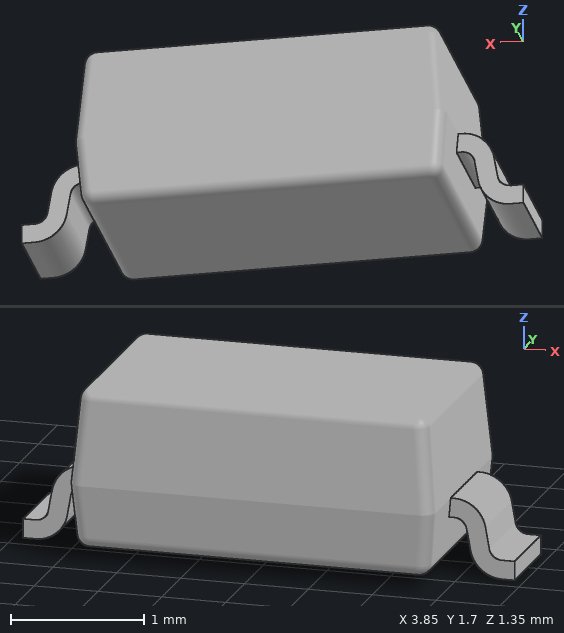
import cadquery as cq
import math

total_length = 3.85
total_height = 1.35
parting_height = 0.605

housing_length = 2.85
housing_width = 1.7
housing_bottom = 0.1
draft_angle = 5.0
edge_radius = 0.1

lead_width = 0.7
lead_thickness = 0.15
foot_length = 0.1
inner_bend_radius = 0.1
outer_bend_radius = inner_bend_radius + lead_thickness
lead_lean = math.radians(10.0)
lead_overrun = 0.077


def tapered_half(height):
    """Half of the housing, growing up or down from the parting level."""
    return (
        cq.Workplane("XY")
        .workplane(offset=parting_height)
        .rect(housing_length, housing_width)
        .extrude(height, taper=draft_angle)
    )


def make_housing():
    upper = tapered_half(total_height - parting_height)
    lower = tapered_half(housing_bottom - parting_height)
    block = upper.union(lower)
    rounded_edges = "(not #Z) or >Z or <Z"
    return block.edges(rounded_edges).fillet(edge_radius).solids()


def arc_point(center, radius, angle):
    """Point on a circle in the XZ plane."""
    return (center[0] + radius * math.cos(angle), center[1] + radius * math.sin(angle))


def make_lead(housing):
    """Gull-wing lead on the +X end, trimmed flush against the housing wall."""
    tip = total_length / 2
    start = housing_length / 2 - lead_overrun
    shoulder_underside = parting_height - lead_thickness

    foot_center = (tip - foot_length, outer_bend_radius)
    shoulder_z = parting_height - outer_bend_radius
    drop = shoulder_z - outer_bend_radius
    radii_sum = outer_bend_radius + inner_bend_radius
    center_spacing = (radii_sum + drop * math.sin(lead_lean)) / math.cos(lead_lean)
    shoulder_center = (foot_center[0] - center_spacing, shoulder_z)

    shoulder_end = lead_lean
    shoulder_mid = (math.pi / 2 + lead_lean) / 2
    foot_start = math.pi + shoulder_end
    foot_mid = math.pi + shoulder_mid

    profile = (
        cq.Workplane("XZ")
        .moveTo(start, parting_height)
        .lineTo(shoulder_center[0], parting_height)
        .threePointArc(
            arc_point(shoulder_center, outer_bend_radius, shoulder_mid),
            arc_point(shoulder_center, outer_bend_radius, shoulder_end),
        )
        .lineTo(*arc_point(foot_center, inner_bend_radius, foot_start))
        .threePointArc(
            arc_point(foot_center, inner_bend_radius, foot_mid),
            (foot_center[0], lead_thickness),
        )
        .lineTo(tip, lead_thickness)
        .lineTo(tip, 0)
        .lineTo(foot_center[0], 0)
        .threePointArc(
            arc_point(foot_center, outer_bend_radius, foot_mid),
            arc_point(foot_center, outer_bend_radius, foot_start),
        )
        .lineTo(*arc_point(shoulder_center, inner_bend_radius, shoulder_end))
        .threePointArc(
            arc_point(shoulder_center, inner_bend_radius, shoulder_mid),
            (shoulder_center[0], shoulder_underside),
        )
        .lineTo(start, shoulder_underside)
        .close()
    )
    return profile.extrude(lead_width / 2, both=True).cut(housing).solids()


housing = make_housing()

lead = make_lead(housing)
leads = []
for turn in (0, 180):
    leads.append(lead.rotate((0, 0, 0), (0, 0, 1), turn).val())

result = cq.Compound.makeCompound([housing.val(), *leads])